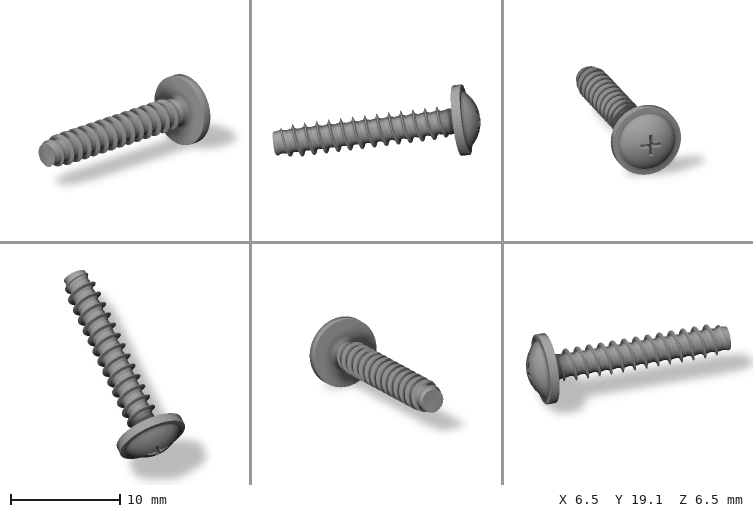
import cadquery as cq
import math


collar_diameter = 6.5
collar_thickness = 0.84
collar_edge_fillet = 0.04
dome_base_radius = 2.67
head_height = 2.14
recess_span = 2.1
recess_width = 0.42
recess_floor_width = 0.27
recess_depth = 0.95

shank_length = 16.95
neck_radius = 1.18
neck_length = 0.72
neck_fillet = 0.45
neck_cone_radius = 0.95
neck_cone_end = 1.77
tip_dish_depth = 0.067
tip_cutter_length = 3.05

crest_radius = 1.53
crest_width = 0.05
flank_angle = 18.0
full_turns = 12
full_thread_length = 13.4
full_thread_start = 1.83
run_in_turns = 1.2
run_out_turns = 1.4
pitch = full_thread_length / full_turns
faded_height = 0.04
points_per_turn = 24

core_radius = 1.03
root_radius = 1.13
valley_rise = 0.4 * pitch

first_turn = -run_in_turns
turn_count = full_turns + 4


def revolve_around_y(profile):
    return profile.close().revolve(360, (0, 0, 0), (0, 1, 0))


def sphere_cap(base_radius, height):
    """Radius, and drop below the top, of the point halfway along a spherical cap's arc."""
    sphere_radius = (base_radius**2 + height**2) / (2 * height)
    half_angle = math.asin(base_radius / sphere_radius) / 2
    return sphere_radius * math.sin(half_angle), sphere_radius * (1 - math.cos(half_angle))


def head():
    collar = (
        cq.Workplane("XZ")
        .circle(collar_diameter / 2)
        .extrude(-collar_thickness)
        .edges("<Y")
        .fillet(collar_edge_fillet)
    )
    middle_radius, middle_drop = sphere_cap(dome_base_radius, head_height - collar_thickness)
    dome = revolve_around_y(
        cq.Workplane("XY")
        .moveTo(0, collar_thickness)
        .lineTo(dome_base_radius, collar_thickness)
        .threePointArc((middle_radius, head_height - middle_drop), (0, head_height))
    )
    return collar.union(dome)


def cross_recess():
    """Cross-shaped driver recess whose wings narrow towards the floor."""
    taper = math.degrees(math.atan((recess_width - recess_floor_width) / 2 / recess_depth))
    top = cq.Workplane("XZ", origin=(0, head_height, 0))
    along_x = top.rect(recess_span, recess_width).extrude(recess_depth, taper=taper)
    along_z = top.rect(recess_width, recess_span).extrude(recess_depth, taper=taper)
    return along_x.union(along_z)


def neck():
    """Filleted neck, with a cone that sinks into the thread."""
    fillet_offset = neck_fillet * (1 - math.sqrt(0.5))
    overlap = collar_thickness / 2
    return revolve_around_y(
        cq.Workplane("XY")
        .moveTo(0, overlap)
        .lineTo(neck_radius + neck_fillet, overlap)
        .lineTo(neck_radius + neck_fillet, 0)
        .threePointArc((neck_radius + fillet_offset, -fillet_offset), (neck_radius, -neck_fillet))
        .lineTo(neck_radius, -neck_length)
        .lineTo(neck_cone_radius, -neck_cone_end)
        .lineTo(0, -neck_cone_end)
    )


def tip_cutter():
    """Material beyond the tip, domed so that it leaves a shallow dish in the end face."""
    dish_top = -shank_length + tip_dish_depth
    cutter_bottom = -shank_length - tip_cutter_length
    middle_radius, middle_drop = sphere_cap(core_radius, tip_dish_depth)
    return revolve_around_y(
        cq.Workplane("XY")
        .moveTo(0, dish_top)
        .threePointArc((middle_radius, dish_top - middle_drop), (core_radius, -shank_length))
        .lineTo(crest_radius, -shank_length)
        .lineTo(crest_radius, cutter_bottom)
        .lineTo(0, cutter_bottom)
    )


def crest_height(turn):
    """Crest radius, rising from the root, staying full, then sinking back to the root."""
    rise = crest_radius - root_radius - faded_height
    if turn < 0:
        return crest_radius - rise * (1 - math.sin(math.pi / 2 * (1 + turn / run_in_turns)))
    return crest_radius - rise * min(1, max(0, turn - full_turns) / run_out_turns)


def axis_point(turn):
    """Point of the axis level with the valley on the head side of the thread."""
    return cq.Vector(0, valley_rise - full_thread_start - pitch * turn, 0)


def thread_corners(turn):
    """Corners of one pitch of the thread outline, from one valley to the next."""
    crest = crest_height(turn)
    half_crest = crest_width / 2
    half_root = half_crest + (crest - root_radius) * math.tan(math.radians(flank_angle))
    corners = [
        (core_radius, valley_rise),
        (root_radius, half_root),
        (crest, half_crest),
        (crest, -half_crest),
        (root_radius, -half_root),
        (core_radius, valley_rise - pitch),
    ]
    angle = 2 * math.pi * turn
    crest_y = -full_thread_start - pitch * turn
    return [
        cq.Vector(-radius * math.sin(angle), crest_y + offset, radius * math.cos(angle))
        for radius, offset in corners
    ]


def one_turn_edges(start):
    """Helical edges traced by the outline corners through one right-handed turn."""
    stations = [thread_corners(start + i / points_per_turn) for i in range(points_per_turn + 1)]
    return [cq.Edge.makeSpline(list(trace)) for trace in zip(*stations)]


def end_cap(turn, valley_edge):
    """Helicoid from the axis to the valley, with the flat step that one pitch leaves."""
    axis_edge = cq.Edge.makeLine(axis_point(turn), axis_point(turn + 1))
    helicoid = cq.Face.makeRuledSurface(axis_edge, valley_edge)
    outline = [axis_point(turn)] + thread_corners(turn) + [axis_point(turn + 1)]
    step = cq.Face.makeFromWires(cq.Wire.makePolygon(outline, close=True))
    return [helicoid, step]


def threaded_rod():
    """Threaded rod whose surface is helical strips from valley to valley."""
    edges_by_turn = [one_turn_edges(first_turn + i) for i in range(turn_count)]
    faces = [
        cq.Face.makeRuledSurface(upper, lower)
        for turn_edges in edges_by_turn
        for upper, lower in zip(turn_edges, turn_edges[1:])
    ]
    faces += end_cap(first_turn, edges_by_turn[0][0])
    faces += end_cap(first_turn + turn_count, edges_by_turn[-1][-1])
    rod = cq.Solid.makeSolid(cq.Shell.makeShell(faces)).fix()
    return cq.Workplane(rod)


shank = neck().union(threaded_rod()).cut(tip_cutter())
result = shank.union(head()).cut(cross_recess())